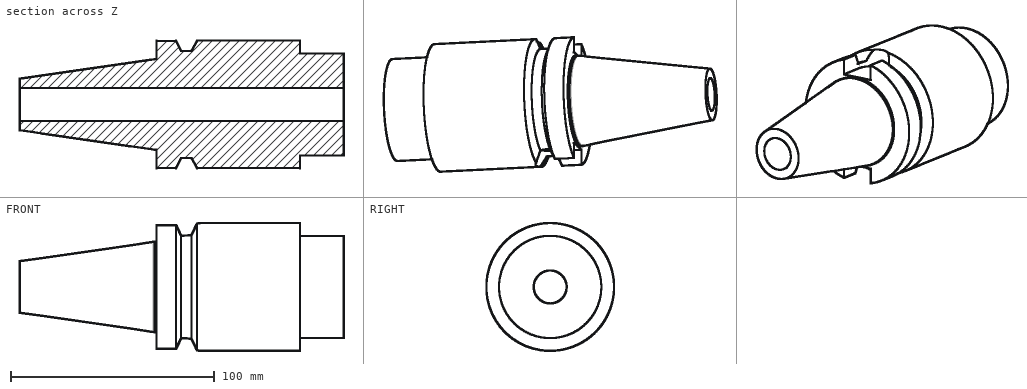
import cadquery as cq

total_length = 159.3
taper_end = 65.5
collar_start = 66.3
flange_start = 67.2
flange_end = 77.0
groove_start = 79.3
groove_end = 84.5
body_start = 87.1
body_end = 137.8

taper_small_diameter = 25.5
taper_large_diameter = 44.5
collar_diameter = 44.8
body_diameter = 63.0
groove_diameter = 53.0
nose_diameter = 50.3
bore_diameter = 16.1

slot_width = 16.1
slot_tip = 88.4
slot_floor_height = 22.8


def turned_body():
    """Revolve the half profile of the tool holder about the X axis."""
    taper_small_radius = taper_small_diameter / 2
    taper_large_radius = taper_large_diameter / 2
    collar_radius = collar_diameter / 2
    body_radius = body_diameter / 2
    groove_radius = groove_diameter / 2
    nose_radius = nose_diameter / 2
    profile = [
        (0, 0),
        (0, taper_small_radius),
        (taper_end, taper_large_radius),
        (collar_start, taper_large_radius),
        (collar_start, collar_radius),
        (flange_start, collar_radius),
        (flange_start, body_radius),
        (flange_end, body_radius),
        (groove_start, groove_radius),
        (groove_end, groove_radius),
        (body_start, body_radius),
        (body_end, body_radius),
        (body_end, nose_radius),
        (total_length, nose_radius),
        (total_length, 0),
    ]
    return cq.Workplane("XY").polyline(profile).close().revolve(360, (0, 0, 0), (1, 0, 0))


def bore():
    """Round hole through the whole length."""
    return cq.Workplane("YZ").circle(bore_diameter / 2).extrude(total_length)


def drive_slot(side):
    """Round-ended slot, open at the flange face; side is 1 for top and -1 for bottom."""
    half_width = slot_width / 2
    arc_start = slot_tip - half_width
    depth = body_diameter / 2 - slot_floor_height
    return (
        cq.Workplane("XY", origin=(0, 0, side * slot_floor_height))
        .moveTo(flange_start, -half_width)
        .lineTo(arc_start, -half_width)
        .threePointArc((slot_tip, 0), (arc_start, half_width))
        .lineTo(flange_start, half_width)
        .close()
        .extrude(side * depth)
    )


result = turned_body().cut(bore())
for side in (1, -1):
    result = result.cut(drive_slot(side))